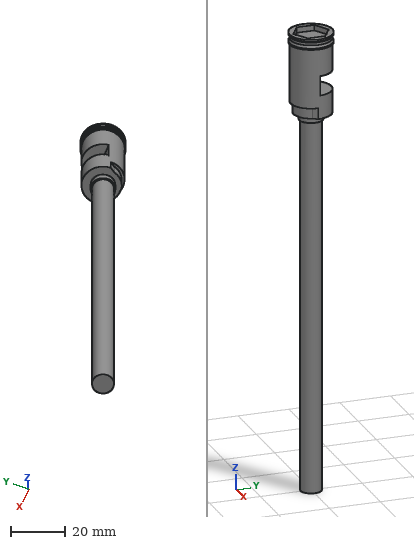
import cadquery as cq
import math

total_height = 182.0
head_height = 31.8
collar_height = 2.7
head_bottom = total_height - head_height
collar_bottom = head_bottom - collar_height

rim_radius = 17.0 / 2
body_radius = 16.0 / 2
collar_radius = 9.3 / 2
shaft_radius = 8.2 / 2

upper_rim_edge_height = 0.7
lower_rim_edge_height = 0.5
upper_taper_bottom = total_height - 1.3
lower_taper_top = total_height - 2.4
lower_rim_bottom = total_height - 4.0

socket_corner_radius = 7.0
socket_depth = 2.2

slot_wall_y = 0.82
slot_bottom = total_height - 22.5
slot_height = 7.6

relief_height = 4.4
relief_radius = 7.0
relief_wall_y = -1.8


def make_turned_body():
    profile = [
        (0, 0),
        (shaft_radius, 0),
        (shaft_radius, collar_bottom),
        (collar_radius, collar_bottom),
        (collar_radius, head_bottom),
        (body_radius, head_bottom),
        (body_radius, lower_rim_bottom),
        (rim_radius, lower_rim_bottom),
        (rim_radius, lower_rim_bottom + lower_rim_edge_height),
        (body_radius, lower_taper_top),
        (body_radius, upper_taper_bottom),
        (rim_radius, total_height - upper_rim_edge_height),
        (rim_radius, total_height),
        (0, total_height),
    ]
    return cq.Workplane("XZ").polyline(profile).close().revolve(360, (0, 0, 0), (0, 1, 0))


def make_socket():
    return (
        cq.Workplane("XY")
        .workplane(offset=total_height - socket_depth)
        .transformed(rotate=(0, 0, 90))
        .polygon(6, 2 * socket_corner_radius)
        .extrude(socket_depth)
    )


def make_slot():
    return (
        cq.Workplane("XY")
        .box(2 * rim_radius, rim_radius, slot_height, centered=(True, False, False))
        .translate((0, slot_wall_y, slot_bottom))
    )


def make_relief():
    wall_x = math.sqrt(relief_radius**2 - relief_wall_y**2)
    return (
        cq.Workplane("XY")
        .workplane(offset=head_bottom)
        .moveTo(-body_radius, 0)
        .lineTo(-wall_x, relief_wall_y)
        .threePointArc((0, -relief_radius), (wall_x, relief_wall_y))
        .lineTo(body_radius, 0)
        .threePointArc((0, -body_radius), (-body_radius, 0))
        .close()
        .extrude(relief_height)
    )


result = make_turned_body().cut(make_socket()).cut(make_slot()).cut(make_relief())